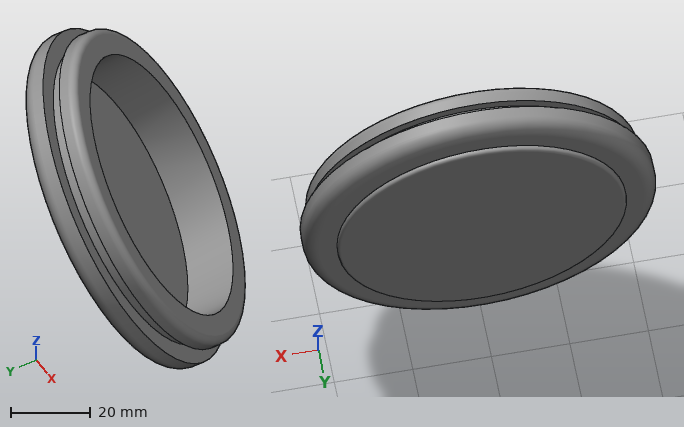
import cadquery as cq

rim_radius = 45.0
lip_radius = 42.5
groove_radius = 40.0
boss_radius = 36.8
pocket_radius = 35.0

lip_thickness = 4.5
groove_width = 3.2
rim_thickness = 6.5
boss_height = 1.4
pocket_depth = 13.1

lip_fillet = 2.0
rim_fillet = 3.5
boss_fillet = 0.8

groove_start = lip_thickness
rim_start = groove_start + groove_width
boss_start = rim_start + rim_thickness


def disc(radius, start, thickness):
    """Solid disc on the Y axis, growing from start toward +Y."""
    plane = cq.Workplane("XZ", origin=(0, start, 0))
    return plane.circle(radius).extrude(-thickness)


lip = disc(lip_radius, 0, lip_thickness).faces("<Y").edges().fillet(lip_fillet)
groove_core = disc(groove_radius, groove_start, groove_width)
rim = disc(rim_radius, rim_start, rim_thickness).faces(">Y").edges().fillet(rim_fillet)
boss = disc(boss_radius, boss_start, boss_height).faces(">Y").edges().fillet(boss_fillet)
pocket = disc(pocket_radius, 0, pocket_depth)

result = lip.union(groove_core).union(rim).union(boss).cut(pocket)